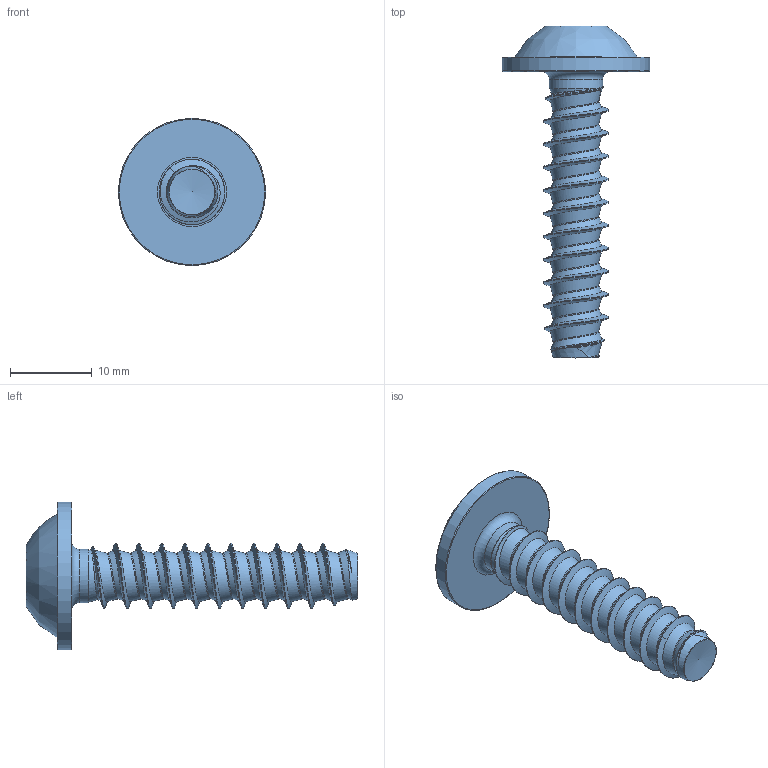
import cadquery as cq
import math

shank_length = 35.0
head_height = 5.6
flange_diameter = 18.0
flange_thickness = 1.8
flange_edge_radius = 0.1
dome_base_diameter = 15.1
dome_flat_diameter = 7.4
dome_radius = 8.25

collar_diameter = 6.55
collar_length = 2.05
neck_fillet_radius = 0.95
collar_step = 0.07
neck_taper_end = 3.6
core_diameter = 5.6
tip_diameter = 5.56
tip_recess_depth = 0.25

thread_diameter = 8.0
thread_pitch = 2.818
thread_start_depth = 1.85
thread_end_depth = 34.2
thread_start_radius = 3.33
crest_width = 0.1
crest_base_width = 1.0
ridge_head_reach = 1.03
ridge_tip_reach = 1.65
ridge_top_width = 0.4
ridge_head_radius = 3.14
ridge_tip_radius = 3.17
ridge_overlap = 0.4
run_out_slope = 0.31
crest_height = 1.45
fuse_tolerance = 1e-4

flange_radius = flange_diameter / 2
collar_radius = collar_diameter / 2
core_radius = core_diameter / 2
thread_radius = thread_diameter / 2
tip_radius = tip_diameter / 2


def make_head():
    """Washer flange with a flat-topped spherical dome."""
    flange = (
        cq.Workplane("XY")
        .circle(flange_radius)
        .extrude(-flange_thickness)
        .edges()
        .fillet(flange_edge_radius)
    )

    base_radius = dome_base_diameter / 2
    flat_radius = dome_flat_diameter / 2
    rise = head_height - flange_thickness
    run = base_radius - flat_radius
    chord = math.hypot(run, rise)
    sagitta = dome_radius - math.sqrt(dome_radius**2 - (chord / 2) ** 2)
    middle = (
        (base_radius + flat_radius) / 2 + sagitta * rise / chord,
        -flange_thickness - rise / 2 - sagitta * run / chord,
    )
    dome = (
        cq.Workplane("YZ")
        .moveTo(0, -flange_thickness)
        .lineTo(base_radius, -flange_thickness)
        .threePointArc(middle, (flat_radius, -head_height))
        .lineTo(0, -head_height)
        .close()
        .revolve(360, (0, 0), (0, 1))
    )
    return flange.union(dome)


def make_shank():
    """Fillet under the head, plain collar, tapered neck and thread core."""
    bend = neck_fillet_radius * (1 - math.sqrt(0.5))
    return (
        cq.Workplane("YZ")
        .moveTo(0, -flange_thickness / 2)
        .lineTo(collar_radius + neck_fillet_radius, -flange_thickness / 2)
        .lineTo(collar_radius + neck_fillet_radius, 0)
        .threePointArc((collar_radius + bend, bend), (collar_radius, neck_fillet_radius))
        .lineTo(collar_radius, collar_length)
        .lineTo(collar_radius - collar_step, collar_length)
        .lineTo(core_radius, neck_taper_end)
        .lineTo(core_radius, shank_length)
        .lineTo(0, shank_length)
        .close()
        .revolve(360, (0, 0), (0, 1))
    )


def make_tip_envelope():
    """Solid of revolution that narrows towards the tip."""
    clear_depth = shank_length - (thread_radius - tip_radius) / run_out_slope
    return (
        cq.Workplane("YZ")
        .moveTo(0, -flange_thickness)
        .lineTo(thread_radius, -flange_thickness)
        .lineTo(thread_radius, clear_depth)
        .lineTo(tip_radius, shank_length)
        .lineTo(0, shank_length)
        .close()
        .revolve(360, (0, 0), (0, 1))
    )


def make_root_ridge():
    """Helical swelling of the core at the thread root, trimmed to the tip taper.

    It starts half a turn ahead of the crest, inside the collar.
    """
    inner_radius = core_radius - ridge_overlap
    profile = [
        (-inner_radius, -ridge_head_reach),
        (-core_radius, -ridge_head_reach),
        (-ridge_head_radius, -ridge_top_width / 2),
        (-ridge_tip_radius, ridge_top_width / 2),
        (-core_radius, ridge_tip_reach),
        (-inner_radius, ridge_tip_reach),
    ]
    start_depth = thread_start_depth - thread_pitch / 2
    helix_height = shank_length + thread_pitch - start_depth
    helix = cq.Wire.makeHelix(thread_pitch, helix_height, core_radius)
    half_turn = ((0, 0, 0), (0, 0, 1), 180)
    path = cq.Workplane(helix.rotate(*half_turn))
    ridge = cq.Workplane("XZ").polyline(profile).close().sweep(path, isFrenet=True)
    return ridge.translate((0, 0, start_depth)).intersect(make_tip_envelope())


def make_crest_stretch(start_depth, end_depth, start_radius, taper):
    """Right-handed stretch of thread crest whose radius grows by the taper angle."""
    profile = [
        (start_radius - crest_height, -crest_base_width / 2),
        (start_radius, -crest_width / 2),
        (start_radius, crest_width / 2),
        (start_radius - crest_height, crest_base_width / 2),
    ]
    slant = 1 / math.cos(math.radians(taper))
    length = end_depth - start_depth
    cone = {"angle": taper} if taper else {}
    helix = cq.Wire.makeHelix(thread_pitch * slant, length * slant, start_radius, **cone)
    outline = cq.Workplane("XZ").polyline(profile).close()
    stretch = outline.sweep(cq.Workplane(helix), isFrenet=True)
    turn = 360 * (start_depth - thread_start_depth) / thread_pitch
    return stretch.rotate((0, 0, 0), (0, 0, 1), turn).translate((0, 0, start_depth))


def make_crest_stretches():
    """Full-height crest, then its rise at the collar and its run-out at the tip."""
    taper = math.degrees(math.atan(run_out_slope))
    full_start = thread_start_depth + (thread_radius - thread_start_radius) / run_out_slope
    full_end = shank_length - (thread_radius - tip_radius) / run_out_slope
    return [
        make_crest_stretch(full_start, full_end, thread_radius, 0),
        make_crest_stretch(thread_start_depth, full_start, thread_start_radius, taper),
        make_crest_stretch(full_end, thread_end_depth, thread_radius, -taper),
    ]


def make_tip_recess():
    """Shallow conical hollow over the whole tip face."""
    return (
        cq.Workplane("YZ")
        .moveTo(0, shank_length - tip_recess_depth)
        .lineTo(tip_radius, shank_length)
        .lineTo(0, shank_length)
        .close()
        .revolve(360, (0, 0), (0, 1))
    )


shank = make_shank().union(make_root_ridge(), tol=fuse_tolerance)
for stretch in make_crest_stretches():
    shank = shank.union(stretch, tol=fuse_tolerance)
screw = shank.cut(make_tip_recess()).union(make_head())

result = screw.rotate((0, 0, 0), (1, 0, 0), 90)